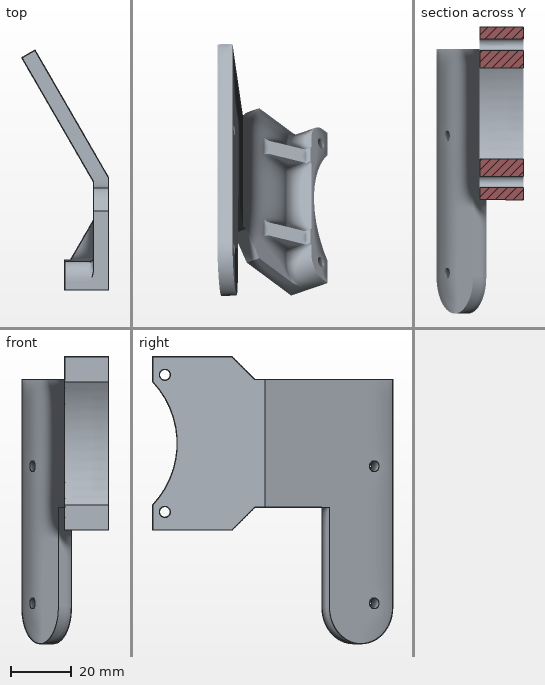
import cadquery as cq
import math

thickness = 5.0

plate_height = 57.0
plate_chamfer = 7.5
plate_chamfer_start = 26.0

bend_angle = 30.0
bend_y = 36.89
wing_length = 48.4
wing_half_height = plate_height / 2 - plate_chamfer

leg_width = 24.0
leg_drop = 37.27
wing_hole_inset = 7.0
wing_hole_top_z = -7.5

flange_reach = 14.5
flange_depth = 9.5
flange_corner_radius = 6.5
bore_radius = 29.5
saddle_depth = 8.0

hole_diameter = 3.5
hole_spacing = 45.0
clamp_hole_y = 4.0

rib_width = 5.0
rib_center_z = 15.5
rib_end_y = 23.0
rib_step_y = 10.0
rib_slope_angle = 30.0
root_fillet = 1.0

half_height = plate_height / 2
bore_center_y = saddle_depth - bore_radius
plate_end_y = plate_chamfer_start + plate_chamfer
bend_sin = math.sin(math.radians(bend_angle))
bend_cos = math.cos(math.radians(bend_angle))
bend_setback = thickness * math.tan(math.radians(bend_angle / 2))
wing_end_x = -wing_length * bend_sin
wing_end_y = bend_y + wing_length * bend_cos
rib_centers_z = (-rib_center_z, rib_center_z)
overrun = 20.0
margin = 0.1


def yz_sketch(x):
    """Workplane at a given X, drawn in (Y, Z), extruding toward +X."""
    return cq.Workplane("YZ", origin=(x, 0, 0))


def wing_sketch():
    """Workplane on the wing's outer face: local X runs along the wing from the bend, local Y is Z."""
    plane = cq.Plane(
        origin=(0, bend_y, 0),
        xDir=(-bend_sin, bend_cos, 0),
        normal=(bend_cos, bend_sin, 0),
    )
    return cq.Workplane(plane)


def make_plate_outline():
    """Chamfered silhouette of the mounting plate, as deep as the flange reaches."""
    return (
        yz_sketch(-flange_reach)
        .moveTo(0, half_height)
        .lineTo(plate_chamfer_start, half_height)
        .lineTo(plate_end_y, wing_half_height)
        .lineTo(plate_end_y, -wing_half_height)
        .lineTo(plate_chamfer_start, -half_height)
        .lineTo(0, -half_height)
        .close()
        .extrude(flange_reach)
    )


def make_rib_relief():
    """Space above the sloping rib tops, reaching down to the plate's inner face."""
    rib_step_x = -thickness - (rib_end_y - rib_step_y) * math.tan(math.radians(rib_slope_angle))
    far_x = -flange_reach - overrun
    far_y = plate_end_y + overrun
    return (
        cq.Workplane("XY", origin=(0, 0, -half_height - overrun))
        .moveTo(far_x, rib_step_y)
        .lineTo(rib_step_x, rib_step_y)
        .lineTo(-thickness, rib_end_y)
        .lineTo(-thickness, far_y)
        .lineTo(far_x, far_y)
        .close()
        .extrude(plate_height + 2 * overrun)
    )


def make_oversize_plate():
    plate_length = plate_end_y + 2 * overrun
    sketch = yz_sketch(-thickness).center(plate_end_y / 2, 0)
    return sketch.rect(plate_length, plate_height + 2 * overrun).extrude(thickness)


def make_flange():
    """Flange with rounded rear corners, running past the front edge."""
    flange_length = flange_depth + overrun / 2
    sketch = yz_sketch(-flange_reach).center(flange_depth - flange_length / 2, 0)
    flange = sketch.rect(flange_length, plate_height).extrude(flange_reach)
    return flange.edges("|X and >Y").fillet(flange_corner_radius)


def make_rib_bar(center_z):
    """Rib at full flange height, before its top is sloped."""
    sketch = yz_sketch(-flange_reach).center(plate_end_y / 2, center_z)
    return sketch.rect(plate_end_y, rib_width).extrude(flange_reach)


def fillet_roots(body):
    """Round the inner corners between ribs, flange and plate."""
    for center_z in rib_centers_z:
        for side in (-1, 1):
            z = center_z + side * rib_width / 2
            rib_corner = cq.selectors.BoxSelector(
                (-flange_reach, flange_depth - margin, z - margin),
                (0, flange_depth + margin, z + margin),
            )
            body = body.edges(rib_corner).fillet(root_fillet)
    plate_roots = cq.selectors.BoxSelector(
        (-thickness - margin, -overrun, -half_height - margin),
        (-thickness + margin, plate_end_y + margin, half_height + margin),
    )
    return body.edges(plate_roots).fillet(root_fillet)


def make_clamp():
    """Mounting plate, flange and ribs, filleted oversize and then trimmed to the outline."""
    body = make_oversize_plate().union(make_flange())
    for center_z in rib_centers_z:
        body = body.union(make_rib_bar(center_z))
    return fillet_roots(body).cut(make_rib_relief()).intersect(make_plate_outline())


def make_wing():
    """Bent sheet running from the plate to the free end at constant thickness."""
    inner_end_x = wing_end_x - thickness * bend_cos
    inner_end_y = wing_end_y - thickness * bend_sin
    return (
        cq.Workplane("XY", origin=(0, 0, -wing_half_height))
        .moveTo(0, plate_end_y)
        .lineTo(0, bend_y)
        .lineTo(wing_end_x, wing_end_y)
        .lineTo(inner_end_x, inner_end_y)
        .lineTo(-thickness, bend_y - bend_setback)
        .lineTo(-thickness, plate_end_y)
        .close()
        .extrude(2 * wing_half_height)
    )


def make_leg():
    """Leg with a full-round lower end, in the plane of the wing."""
    leg_radius = leg_width / 2
    round_z = -half_height - leg_drop + leg_radius
    inner_side = wing_length - leg_width
    return (
        wing_sketch()
        .moveTo(inner_side, 0)
        .lineTo(inner_side, round_z)
        .threePointArc((wing_length - leg_radius, round_z - leg_radius), (wing_length, round_z))
        .lineTo(wing_length, 0)
        .close()
        .extrude(-thickness)
    )


def make_bore():
    """Cylindrical saddle cut through the flange and plate."""
    return yz_sketch(-flange_reach).center(bore_center_y, 0).circle(bore_radius).extrude(flange_reach)


def make_clamp_holes():
    points = [(clamp_hole_y, -hole_spacing / 2), (clamp_hole_y, hole_spacing / 2)]
    return yz_sketch(-flange_reach).pushPoints(points).circle(hole_diameter / 2).extrude(flange_reach)


def make_wing_holes():
    along = wing_length - wing_hole_inset
    points = [(along, wing_hole_top_z), (along, wing_hole_top_z - hole_spacing)]
    return wing_sketch().pushPoints(points).circle(hole_diameter / 2).extrude(-thickness)


result = make_clamp().union(make_wing()).union(make_leg())
result = result.cut(make_bore()).cut(make_clamp_holes()).cut(make_wing_holes())